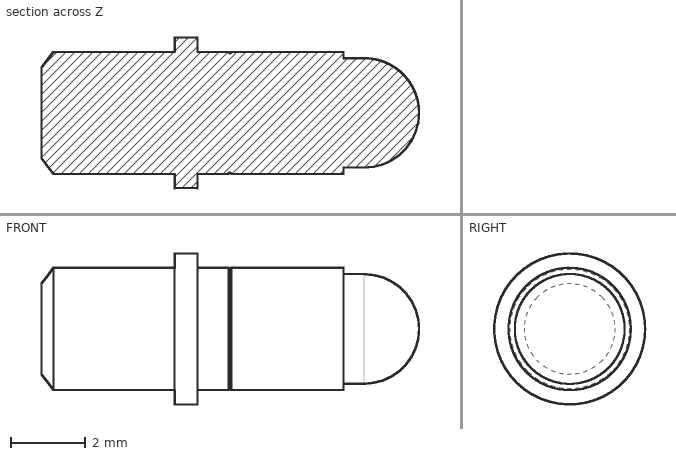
import cadquery as cq

total_length = 10.16
rear_chamfer_length = 0.33
flange_start = 3.59
flange_width = 0.62
groove_start = 5.03
groove_width = 0.08
groove_depth = groove_width / 2
body_end = 8.13

flange_diameter = 4.06
body_diameter = 3.29
rear_face_diameter = 2.44
plunger_diameter = 2.96

plunger_radius = plunger_diameter / 2
dome_start = total_length - plunger_radius


def flange():
    """Plain disc collar around the barrel."""
    return cq.Workplane("YZ").workplane(offset=flange_start).circle(flange_diameter / 2).extrude(flange_width)


def chamfered_body():
    """Barrel with a conical lead-in at its rear end."""
    profile = (
        cq.Workplane("XY")
        .lineTo(0, rear_face_diameter / 2)
        .lineTo(rear_chamfer_length, body_diameter / 2)
        .lineTo(body_end, body_diameter / 2)
        .lineTo(body_end, 0)
        .close()
    )
    return profile.revolve(360, (0, 0, 0), (1, 0, 0))


def domed_plunger():
    """Plunger ending in a hemispherical tip."""
    diagonal = plunger_radius * 0.5**0.5
    profile = (
        cq.Workplane("XY")
        .moveTo(body_end, 0)
        .lineTo(body_end, plunger_radius)
        .lineTo(dome_start, plunger_radius)
        .threePointArc((dome_start + diagonal, diagonal), (total_length, 0))
        .close()
    )
    return profile.revolve(360, (0, 0, 0), (1, 0, 0))


def groove_ring():
    """Triangular ring of material removed to form the shallow V-groove in the barrel."""
    body_radius = body_diameter / 2
    profile = (
        cq.Workplane("XY")
        .moveTo(groove_start, body_radius)
        .lineTo(groove_start + groove_width / 2, body_radius - groove_depth)
        .lineTo(groove_start + groove_width, body_radius)
        .close()
    )
    return profile.revolve(360, (0, 0, 0), (1, 0, 0))


result = chamfered_body().union(flange()).union(domed_plunger()).cut(groove_ring())